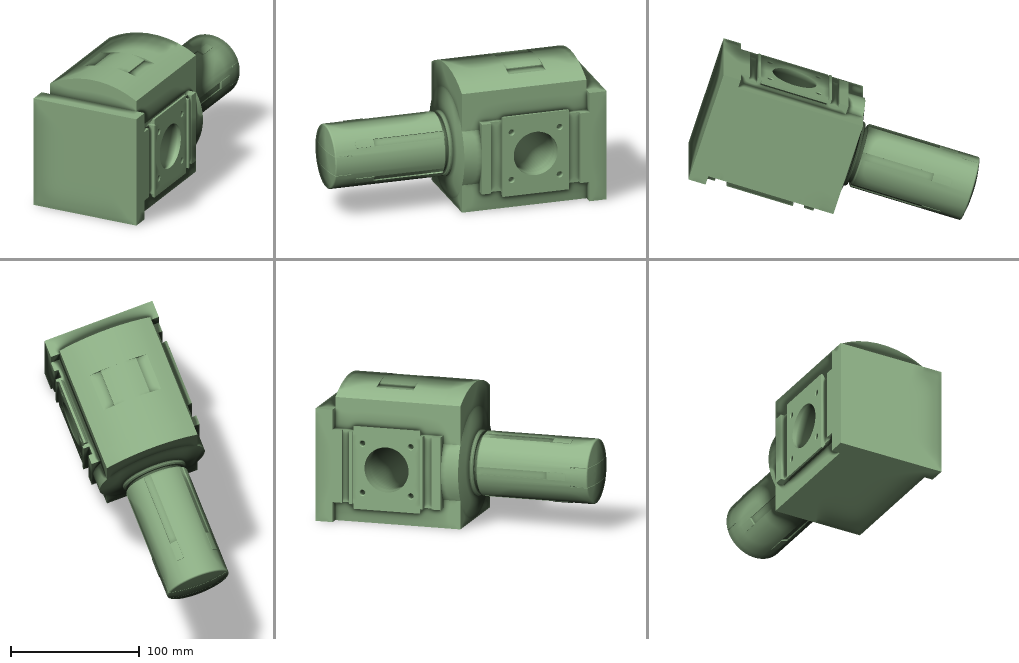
import cadquery as cq
import math

SIZE = 90.0
HALF = SIZE / 2
PLATE_THICKNESS = 14.0
BODY_LENGTH = 88.0
CAP_LENGTH = 14.0
CORE_WIDTH = 75.6
DOME_TOP = 64.0
DOME_RADIUS = 73.6

BORE_DIAMETER = 36.0
SCREW_HOLE_DIAMETER = 4.13
SCREW_CHAMFER = 0.5
SCREW_PITCH = 39.4
SCREW_DEPTH = 10.0
RAIL_HEIGHT = 58.0
RAIL_NOTCH_FLOOR = 41.6
RAIL_END_LENGTH = 7.5
FLANGE_LENGTH = 54.2
FLANGE_HEIGHT = 66.0
FLANGE_LIP = 1.7
FLANGE_ROOT = 41.0
HOOK_THICKNESS = 2.9
HOOK_TIP_LENGTH = 2.2
HOOK_REACH = 1.5

WINDOW_LENGTH = 30.2
WINDOW_FLOOR = 60.0
LENS_WIDTH = 29.6
LENS_RADIUS = 43.0

CAP_DIAMETER = 87.8
COLLAR_DIAMETER = 52.0
COLLAR_CHAMFER = 1.0
CROWN_HEIGHT = 3.5
CROWN_BULGE = 0.15
COLLAR_HEIGHT = 2.8
NECK_DIAMETER = 44.4
NECK_HEIGHT = 1.2

KNOB_DIAMETER = 51.2
KNOB_TOP = 160.2
KNOB_DOME_RISE = 3.0
KNOB_EDGE_FILLET = 1.2
KNOB_FOOT_CHAMFER = 1.0
HUB_HEIGHT = 1.2
RIB_COUNT = 5
RIB_WIDTH = 6.0
PAD_DIAMETER = 52.0
PAD_LENGTH = 14.9
PAD_TO_TOP = 20.7
GROOVE_DEPTH = 1.3
SLIT_SPACING = 15.7
SLIT_WIDTH = 0.4
SLIT_LENGTH = 16.7
DETENT_WIDTH = 2.4
DETENT_DEPTH = 1.2
DETENT_TO_END = 3.0

BODY_FRONT = -BODY_LENGTH / 2
BODY_BACK = BODY_LENGTH / 2
CAP_BACK = BODY_BACK + CAP_LENGTH
CROWN_TOP = CAP_BACK + CROWN_HEIGHT
COLLAR_TOP = CROWN_TOP + COLLAR_HEIGHT
NECK_TOP = COLLAR_TOP + NECK_HEIGHT
KNOB_FOOT = NECK_TOP + HUB_HEIGHT

Y_AXIS = ((0, 0, 0), (0, 1, 0))


def block(x0, x1, y0, y1, z0, z1):
    """Box between opposite corners."""
    return cq.Workplane("XY").box(x1 - x0, y1 - y0, z1 - z0, centered=False).translate((x0, y0, z0))


def dome_height(x):
    """Height of the arched top at distance x from the middle."""
    return DOME_TOP - DOME_RADIUS + math.sqrt(DOME_RADIUS**2 - x**2)


def domed_core(y0, y1):
    """Prism along Y with flat sides and an arched top."""
    half = CORE_WIDTH / 2
    shoulder = dome_height(half)
    return (
        cq.Workplane("XZ", origin=(0, y0, 0))
        .moveTo(-half, -HALF)
        .lineTo(half, -HALF)
        .lineTo(half, shoulder)
        .threePointArc((0, DOME_TOP), (-half, shoulder))
        .close()
        .extrude(-(y1 - y0))
    )


def cylinder_y(diameter, y0, y1):
    return cq.Workplane("XZ", origin=(0, y0, 0)).circle(diameter / 2).extrude(-(y1 - y0))


def side_rail():
    """Rail on the +X side with a notch on each side of the port flange."""
    half = RAIL_HEIGHT / 2
    rail = block(0, RAIL_NOTCH_FLOOR, BODY_FRONT, BODY_BACK, -half, half)
    for y0 in (BODY_FRONT, BODY_BACK - RAIL_END_LENGTH):
        rail = rail.union(block(0, HALF, y0, y0 + RAIL_END_LENGTH, -half, half))
    return rail


def port_flange():
    """Dovetail flange on the +X side, widest at its outer lip."""
    lip = FLANGE_HEIGHT / 2
    root = RAIL_HEIGHT / 2
    upper = [(0, root), (FLANGE_ROOT, root), (HALF - FLANGE_LIP, lip), (HALF, lip)]
    lower = [(x, -z) for x, z in reversed(upper)]
    return (
        cq.Workplane("XZ", origin=(0, -FLANGE_LENGTH / 2, 0))
        .polyline(upper + lower)
        .close()
        .extrude(-FLANGE_LENGTH)
    )


def hooks():
    """Pair of hooks on the +X side, on either side of the flange."""
    half = RAIL_HEIGHT / 2
    inner = FLANGE_LENGTH / 2
    outer = inner + HOOK_THICKNESS
    reach = HALF + HOOK_REACH
    hook = block(0, reach, outer - HOOK_TIP_LENGTH, outer, -half, half)
    hook = hook.union(block(0, HALF, inner, outer, -half, half))
    return hook.union(hook.mirror("XZ"))


def gauge_window():
    """Material removed from the dome, leaving the arched lens standing on a flat floor."""
    half_floor = math.sqrt(DOME_RADIUS**2 - (WINDOW_FLOOR - DOME_TOP + DOME_RADIUS) ** 2)
    y = WINDOW_LENGTH / 2
    opening = block(-half_floor, half_floor, -y, y, WINDOW_FLOOR, DOME_TOP)
    lens = cylinder_y(2 * LENS_RADIUS, -y, y).translate((0, 0, DOME_TOP - LENS_RADIUS))
    lens = lens.intersect(block(-LENS_WIDTH / 2, LENS_WIDTH / 2, -y, y, 0, DOME_TOP))
    return opening.cut(lens)


def screw_holes():
    """Four chamfered holes in the +X flange face."""
    radius = SCREW_HOLE_DIAMETER / 2
    profile = (
        cq.Workplane("XY")
        .polyline([
            (0, 0),
            (radius + SCREW_CHAMFER, 0),
            (radius, -SCREW_CHAMFER),
            (radius, -SCREW_DEPTH),
            (0, -SCREW_DEPTH),
        ])
        .close()
    )
    hole = profile.revolve(360, *Y_AXIS).rotate((0, 0, 0), (0, 0, 1), -90)
    offset = SCREW_PITCH / 2
    holes = cq.Workplane("XY")
    for y in (-offset, offset):
        for z in (-offset, offset):
            holes = holes.add(hole.translate((HALF, y, z)))
    return holes.combine()


def build_housing():
    housing = block(-HALF, HALF, BODY_FRONT - PLATE_THICKNESS, BODY_FRONT, -HALF, HALF)
    housing = housing.union(domed_core(BODY_FRONT, BODY_BACK))
    side = side_rail().union(port_flange())
    housing = housing.union(side).union(side.mirror("YZ")).union(hooks())
    housing = housing.cut(gauge_window())
    holes = screw_holes()
    housing = housing.cut(holes).cut(holes.mirror("YZ"))
    bore = cq.Workplane("YZ", origin=(-SIZE, 0, 0)).circle(BORE_DIAMETER / 2).extrude(2 * SIZE)
    return housing.cut(bore)


def build_cap():
    """Domed end cap with round shoulders, an arched crown, a collar and the knob neck."""
    collar_radius = COLLAR_DIAMETER / 2
    crown_middle = (CAP_DIAMETER / 2 + collar_radius) / 2
    stem = (
        cq.Workplane("XY")
        .moveTo(0, BODY_BACK)
        .lineTo(CAP_DIAMETER / 2, BODY_BACK)
        .lineTo(CAP_DIAMETER / 2, CAP_BACK)
        .threePointArc((crown_middle, (CAP_BACK + CROWN_TOP) / 2 + CROWN_BULGE), (collar_radius, CROWN_TOP))
        .lineTo(collar_radius, COLLAR_TOP - COLLAR_CHAMFER)
        .lineTo(collar_radius - COLLAR_CHAMFER, COLLAR_TOP)
        .lineTo(NECK_DIAMETER / 2, COLLAR_TOP)
        .lineTo(NECK_DIAMETER / 2, NECK_TOP)
        .lineTo(0, NECK_TOP)
        .close()
        .revolve(360, *Y_AXIS)
    )
    return domed_core(BODY_BACK, CAP_BACK).union(stem)


def knob_blank():
    radius = KNOB_DIAMETER / 2
    dome_radius = (radius**2 + KNOB_DOME_RISE**2) / (2 * KNOB_DOME_RISE)
    middle = radius / 2
    middle_y = KNOB_TOP - dome_radius + math.sqrt(dome_radius**2 - middle**2)
    rim = KNOB_TOP - KNOB_DOME_RISE
    blank = (
        cq.Workplane("XY")
        .moveTo(0, NECK_TOP)
        .lineTo(NECK_DIAMETER / 2, NECK_TOP)
        .lineTo(NECK_DIAMETER / 2, KNOB_FOOT)
        .lineTo(radius - KNOB_FOOT_CHAMFER, KNOB_FOOT)
        .lineTo(radius, KNOB_FOOT + KNOB_FOOT_CHAMFER)
        .lineTo(radius, rim)
        .threePointArc((middle, middle_y), (0, KNOB_TOP))
        .close()
        .revolve(360, *Y_AXIS)
    )
    rim_edge = blank.faces(">Y").edges("%CIRCLE")
    return rim_edge.fillet(KNOB_EDGE_FILLET)


def lock_slits():
    """Two thin slits across the knob end, each with a small detent and a short inward turn at its root."""
    end = KNOB_TOP - SLIT_LENGTH
    detent_y = end + DETENT_TO_END
    z = SLIT_SPACING / 2
    slit = block(-SIZE, SIZE, end, KNOB_TOP, z - SLIT_WIDTH / 2, z + SLIT_WIDTH / 2)
    detent = (
        cq.Workplane("YZ", origin=(-SIZE, 0, 0))
        .polyline([
            (detent_y - DETENT_WIDTH / 2, z),
            (detent_y + DETENT_WIDTH / 2, z),
            (detent_y, z - DETENT_DEPTH),
        ])
        .close()
        .extrude(2 * SIZE)
    )
    turn = block(-SIZE, SIZE, end, end + SLIT_WIDTH, z - DETENT_DEPTH, z)
    slit = slit.union(detent).union(turn)
    return slit.union(slit.mirror("XY"))


def build_knob():
    knob = knob_blank()
    half = RIB_WIDTH / 2
    pad_end = KNOB_TOP - PAD_TO_TOP
    pad_start = pad_end - PAD_LENGTH
    floor = KNOB_DIAMETER / 2 - GROOVE_DEPTH
    pad = block(0, PAD_DIAMETER, pad_start, pad_end, -half, half)
    pad = pad.intersect(cylinder_y(PAD_DIAMETER, pad_start, pad_end))
    groove = block(floor, PAD_DIAMETER, KNOB_FOOT, pad_start, -half, half)
    for index in range(RIB_COUNT):
        angle = index * 360 / RIB_COUNT
        knob = knob.union(pad.rotate(*Y_AXIS, angle))
        knob = knob.cut(groove.rotate(*Y_AXIS, angle))
    return knob.cut(lock_slits())


housing = build_housing()
cap = build_cap()
knob = build_knob()
bodies = [body.solids().val() for body in (housing, cap, knob)]
result = cq.Compound.makeCompound(bodies)